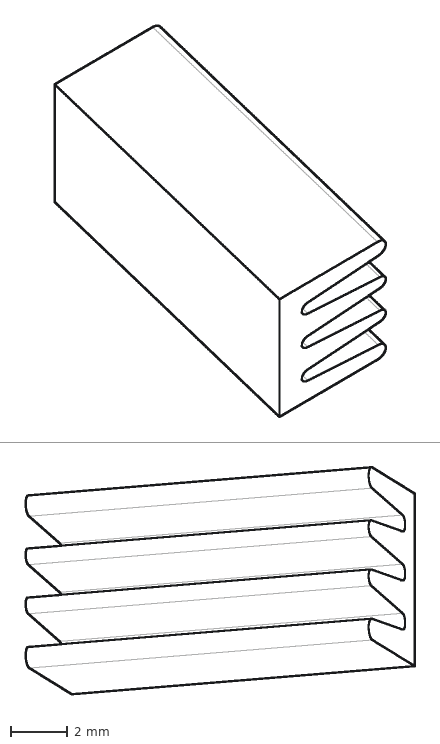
import cadquery as cq
import math

length = 13.0
depth = 4.81
height = 6.3
base_thickness = 1.01
fin_pitch = 1.8
slot_count = 3
slot_radius = 0.3
inner_tip_radius = 0.3

slot_center_y = base_thickness + slot_radius
inner_tip_y = depth - inner_tip_radius
run = inner_tip_y - slot_center_y
rise = fin_pitch / 2
center_distance = math.hypot(run, rise)
taper = math.atan2(rise, run) - math.asin((slot_radius + inner_tip_radius) / center_distance)
taper_sin = math.sin(taper)
taper_cos = math.cos(taper)

top_z = height / 2
top_slot_z = fin_pitch * (slot_count - 1) / 2
outer_tip_radius = (
    (top_z - top_slot_z) * taper_cos - (depth - slot_center_y) * taper_sin - slot_radius
) / (1 + taper_cos - taper_sin)
outer_tip_y = depth - outer_tip_radius
outer_tip_z = top_z - outer_tip_radius


def draw_slot(outline, z):
    """Draw the lower flank, rounded floor and upper flank start of one slot."""
    floor_y = slot_center_y - slot_radius * taper_sin
    floor_half_width = slot_radius * taper_cos
    return (
        outline.lineTo(floor_y, z - floor_half_width)
        .threePointArc((base_thickness, z), (floor_y, z + floor_half_width))
    )


def draw_inner_tip(outline, z):
    """Draw the flank up to an inner fin and round its tip."""
    tangent_y = inner_tip_y + inner_tip_radius * taper_sin
    tangent_offset = inner_tip_radius * taper_cos
    return (
        outline.lineTo(tangent_y, z - tangent_offset)
        .threePointArc((depth, z), (tangent_y, z + tangent_offset))
    )


outer_tangent_y = outer_tip_y + outer_tip_radius * taper_sin
outer_tangent_z = outer_tip_z - outer_tip_radius * taper_cos

profile = (
    cq.Workplane("YZ")
    .moveTo(0, top_z)
    .lineTo(0, -top_z)
    .lineTo(outer_tip_y, -top_z)
    .threePointArc((depth, -outer_tip_z), (outer_tangent_y, -outer_tangent_z))
)

for index in range(slot_count):
    slot_z = index * fin_pitch - top_slot_z
    profile = draw_slot(profile, slot_z)
    if index < slot_count - 1:
        profile = draw_inner_tip(profile, slot_z + fin_pitch / 2)

profile = (
    profile.lineTo(outer_tangent_y, outer_tangent_z)
    .threePointArc((depth, outer_tip_z), (outer_tip_y, top_z))
    .close()
)

result = profile.extrude(length)